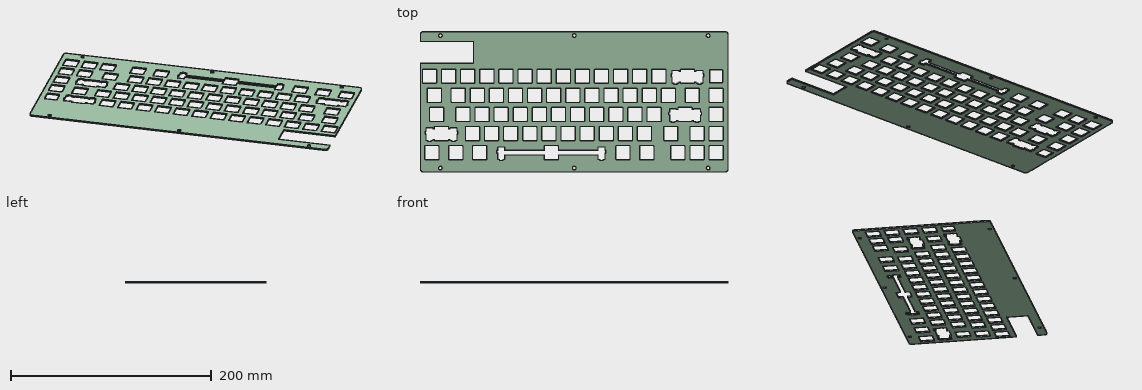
import cadquery as cq

PLATE_LENGTH = 307.0
PLATE_WIDTH = 140.0
PLATE_THICKNESS = 1.5
CORNER_RADIUS = 3.0

SCREW_DIAMETER = 3.4
SCREW_SPACING_X = 133.5
SCREW_EDGE_DISTANCE = 4.0

NOTCH_DEPTH = 53.0
NOTCH_TOP = 60.0
NOTCH_BOTTOM = 38.5

KEY_UNIT = 19.05
SWITCH_SIZE = 13.95
OPENING_CORNER_RADIUS = 0.5
SMALL_OPENING_SIZE = 12.7
GRID_LEFT = -153.82
TOP_ROW_Y = 25.52
LAST_COLUMN = 15.5

SWITCH_ROWS = [
    [0.5 + i for i in range(13)],
    [0.75] + [2.0 + i for i in range(12)] + [14.25, LAST_COLUMN],
    [0.875] + [2.25 + i for i in range(11)] + [LAST_COLUMN],
    [2.75 + i for i in range(10)] + [13.125, 14.5, LAST_COLUMN],
    [0.625, 1.875, 3.125, 10.625, 11.875, 13.5, 14.5, LAST_COLUMN],
]

WIDE_KEYS = [(0, 14.0), (2, 13.875), (3, 1.125)]
SPACE_BAR = (4, 6.875)

WIDE_KEY_STEM_OFFSET = 11.938
SPACE_BAR_STEM_OFFSET = 50.0
WIDE_KEY_CHANNEL = (-5.97, 4.73)
SPACE_BAR_CHANNEL = (-2.3, 2.3)
HOUSING_HALF_WIDTH = 3.325
HOUSING_BOTTOM = -6.77
HOUSING_TOP = 5.65
FOOT_HALF_WIDTH = 1.65
FOOT_BOTTOM = -7.75
EAR_REACH = 4.2
EAR_BOTTOM = -0.5
EAR_TOP = 2.3


def key_centre(row, position):
    """Centre of a key from its row number and its position in key units."""
    return (GRID_LEFT + position * KEY_UNIT, TOP_ROW_Y - row * KEY_UNIT)


def box_between(x_range, y_range):
    """Block through the plate thickness between two X and two Y limits."""
    x_min, x_max = x_range
    y_min, y_max = y_range
    return (
        cq.Workplane("XY")
        .rect(x_max - x_min, y_max - y_min)
        .extrude(PLATE_THICKNESS)
        .translate(((x_min + x_max) / 2, (y_min + y_max) / 2, 0))
    )


def square_cutter(centres, size):
    """Square blocks of one size, with rounded corners, at the given centres."""
    cutter = cq.Workplane("XY").pushPoints(centres).rect(size, size).extrude(PLATE_THICKNESS)
    return cutter.edges("|Z").fillet(OPENING_CORNER_RADIUS)


def stabiliser_cutter(centre, stem_offset, channel):
    """Switch opening joined by a channel to a stabiliser housing on each side."""
    cutter = square_cutter([(0, 0)], SWITCH_SIZE)
    cutter = cutter.union(box_between((-stem_offset, stem_offset), channel))
    for side in (-1, 1):
        stem_x = side * stem_offset
        housing_x = (stem_x - HOUSING_HALF_WIDTH, stem_x + HOUSING_HALF_WIDTH)
        foot_x = (stem_x - FOOT_HALF_WIDTH, stem_x + FOOT_HALF_WIDTH)
        ear_x = sorted((stem_x, stem_x + side * EAR_REACH))
        cutter = cutter.union(box_between(housing_x, (HOUSING_BOTTOM, HOUSING_TOP)))
        cutter = cutter.union(box_between(foot_x, (FOOT_BOTTOM, 0)))
        cutter = cutter.union(box_between(ear_x, (EAR_BOTTOM, EAR_TOP)))
    return cutter.translate((*centre, 0))


def make_blank():
    """Plate with rounded corners, the left notch and the screw holes."""
    blank = (
        cq.Workplane("XY")
        .rect(PLATE_LENGTH, PLATE_WIDTH)
        .extrude(PLATE_THICKNESS)
        .edges("|Z")
        .fillet(CORNER_RADIUS)
    )
    left_edge = -PLATE_LENGTH / 2
    blank = blank.cut(box_between((left_edge, left_edge + NOTCH_DEPTH), (NOTCH_BOTTOM, NOTCH_TOP)))
    screw_y = PLATE_WIDTH / 2 - SCREW_EDGE_DISTANCE
    screws = [(column * SCREW_SPACING_X, side * screw_y) for column in (-1, 0, 1) for side in (-1, 1)]
    screw_cutter = cq.Workplane("XY").pushPoints(screws).circle(SCREW_DIAMETER / 2).extrude(PLATE_THICKNESS)
    return blank.cut(screw_cutter)


plate = make_blank()

for row_number, positions in enumerate(SWITCH_ROWS):
    row_centres = [key_centre(row_number, position) for position in positions]
    plate = plate.cut(square_cutter(row_centres, SWITCH_SIZE))

plate = plate.cut(square_cutter([key_centre(0, LAST_COLUMN)], SMALL_OPENING_SIZE))

for wide_key in WIDE_KEYS:
    plate = plate.cut(stabiliser_cutter(key_centre(*wide_key), WIDE_KEY_STEM_OFFSET, WIDE_KEY_CHANNEL))
plate = plate.cut(stabiliser_cutter(key_centre(*SPACE_BAR), SPACE_BAR_STEM_OFFSET, SPACE_BAR_CHANNEL))

result = plate